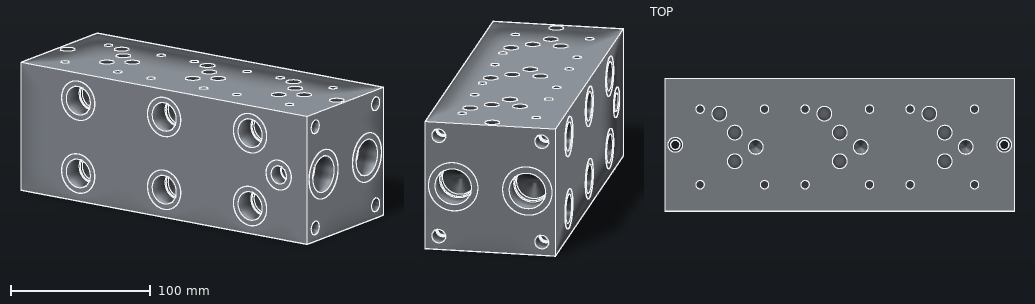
import cadquery as cq
import math

LENGTH = 250.0
WIDTH = 95.0
HEIGHT = 95.0
MID_Y = WIDTH / 2
MID_Z = HEIGHT / 2
DRILL_POINT_ANGLE = 118.0
CUT_OVERRUN = 2.5

STATION_COUNT = 3
STATION_PITCH = 75.0
FIRST_STATION_X = 50.0
STATIONS_X = [FIRST_STATION_X + i * STATION_PITCH for i in range(STATION_COUNT)]

SPOTFACE_DEPTH = 0.2
PORT_SPACING = 54.0
SERVICE_DRILL_DIA = 19.0
SERVICE_THREAD_DIA = 21.0
SERVICE_SPOTFACE_DIA = 29.0
SERVICE_THREAD_DEPTH = 16.2
SERVICE_DRILL_DEPTH = 18.8
SERVICE_PORT = (
    SERVICE_DRILL_DIA,
    SERVICE_THREAD_DIA,
    SERVICE_SPOTFACE_DIA,
    SERVICE_THREAD_DEPTH,
    SERVICE_DRILL_DEPTH,
)
SUPPLY_DRILL_DIA = 24.5
SUPPLY_THREAD_DIA = 26.5
SUPPLY_SPOTFACE_DIA = 36.0
SUPPLY_THREAD_DEPTH = 17.0
SUPPLY_DRILL_DEPTH = 22.5
SUPPLY_PORT = (
    SUPPLY_DRILL_DIA,
    SUPPLY_THREAD_DIA,
    SUPPLY_SPOTFACE_DIA,
    SUPPLY_THREAD_DEPTH,
    SUPPLY_DRILL_DEPTH,
)
GAUGE_DRILL_DIA = 11.8
GAUGE_THREAD_DIA = 13.2
GAUGE_SPOTFACE_DIA = 22.0
GAUGE_THREAD_DEPTH = 12.0
GAUGE_DRILL_DEPTH = 16.0
GAUGE_PORT = (
    GAUGE_DRILL_DIA,
    GAUGE_THREAD_DIA,
    GAUGE_SPOTFACE_DIA,
    GAUGE_THREAD_DEPTH,
    GAUGE_DRILL_DEPTH,
)
GAUGE_X = 225.0

CORNER_INSET = 10.0
CORNER_DRILL_DIA = 8.5
CORNER_THREAD_DIA = 10.0
CORNER_THREAD_DEPTH = 15.0
CORNER_DRILL_DEPTH = 17.5
CORNER_HOLE = (
    CORNER_DRILL_DIA,
    CORNER_THREAD_DIA,
    CORNER_THREAD_DEPTH,
    CORNER_DRILL_DEPTH,
)

SEAT_BOLT_DIA = 6.0
SEAT_BOLT_DEPTH = 15.0
SEAT_BOLT_SPACING_X = 46.0
SEAT_BOLT_SPACING_Y = 54.0
SEAT_CORNER_X = -24.8
SEAT_CORNER_Y = 19.0
SEAT_PORT_DIA = 10.5
SEAT_PORT_DEPTH = 5.2
SEAT_PORTS = [(13.8, 50.8), (24.8, 37.2), (24.8, 16.8)]
SEAT_DRILLED_PORT = (39.8, 27.0)
SEAT_DRILLED_DEPTH = 3.8

MOUNT_INSET = 7.5
MOUNT_DIA = 6.5
MOUNT_HEAD_DIA = 10.5
MOUNT_HEAD_DEPTH = 10.0


def cylinder(point, inward, diameter, depth):
    """Flat-bottomed hole that starts slightly outside the face."""
    direction = cq.Vector(*inward)
    start = cq.Vector(*point) - direction * CUT_OVERRUN
    return cq.Solid.makeCylinder(diameter / 2, depth + CUT_OVERRUN, start, direction)


def drilled_hole(point, inward, diameter, depth):
    """Blind hole ending in a drill point; depth is that of its cylinder."""
    direction = cq.Vector(*inward)
    tip_length = diameter / 2 / math.tan(math.radians(DRILL_POINT_ANGLE / 2))
    shoulder = cq.Vector(*point) + direction * depth
    tip = cq.Solid.makeCone(diameter / 2, 0, tip_length, shoulder, direction)
    return cylinder(point, inward, diameter, depth).fuse(tip)


def threaded_hole(point, inward, drill_dia, thread_dia, thread_depth, drill_depth):
    """Drilled hole widened to the thread diameter down to the thread depth."""
    drill = drilled_hole(point, inward, drill_dia, drill_depth)
    return drill.fuse(cylinder(point, inward, thread_dia, thread_depth))


def threaded_port(point, inward, drill_dia, thread_dia, spotface_dia, thread_depth, drill_depth):
    """Threaded hole with a shallow spotface around its mouth."""
    spotface = cylinder(point, inward, spotface_dia, SPOTFACE_DEPTH)
    return spotface.fuse(threaded_hole(point, inward, drill_dia, thread_dia, thread_depth, drill_depth))


def front_face_ports():
    """Two service ports per valve station and one gauge port."""
    inward = (0, 1, 0)
    ports = []
    for x in STATIONS_X:
        for side in (-1, 1):
            point = (x, 0, MID_Z + side * PORT_SPACING / 2)
            ports.append(threaded_port(point, inward, *SERVICE_PORT))
    ports.append(threaded_port((GAUGE_X, 0, MID_Z), inward, *GAUGE_PORT))
    return ports


def end_face_holes(x, inward):
    """Two supply ports and four corner fixing holes on the end face at x."""
    holes = []
    for side in (-1, 1):
        point = (x, MID_Y + side * PORT_SPACING / 2, MID_Z)
        holes.append(threaded_port(point, inward, *SUPPLY_PORT))
    for y in (CORNER_INSET, WIDTH - CORNER_INSET):
        for z in (CORNER_INSET, HEIGHT - CORNER_INSET):
            holes.append(threaded_hole((x, y, z), inward, *CORNER_HOLE))
    return holes


def valve_seat(station_x):
    """Bolt and port holes for one valve; all ports but one are flat-bottomed."""
    down = (0, 0, -1)
    corner_x = station_x + SEAT_CORNER_X
    holes = []
    for dx in (0, SEAT_BOLT_SPACING_X):
        for dy in (0, SEAT_BOLT_SPACING_Y):
            point = (corner_x + dx, SEAT_CORNER_Y + dy, HEIGHT)
            holes.append(cylinder(point, down, SEAT_BOLT_DIA, SEAT_BOLT_DEPTH))
    for dx, dy in SEAT_PORTS:
        point = (corner_x + dx, SEAT_CORNER_Y + dy, HEIGHT)
        holes.append(cylinder(point, down, SEAT_PORT_DIA, SEAT_PORT_DEPTH))
    dx, dy = SEAT_DRILLED_PORT
    point = (corner_x + dx, SEAT_CORNER_Y + dy, HEIGHT)
    holes.append(drilled_hole(point, down, SEAT_PORT_DIA, SEAT_DRILLED_DEPTH))
    return holes


def mounting_holes():
    """Counterbored through holes near both ends."""
    down = (0, 0, -1)
    holes = []
    for x in (MOUNT_INSET, LENGTH - MOUNT_INSET):
        point = (x, MID_Y, HEIGHT)
        holes.append(cylinder(point, down, MOUNT_DIA, HEIGHT + CUT_OVERRUN))
        holes.append(cylinder(point, down, MOUNT_HEAD_DIA, MOUNT_HEAD_DEPTH))
    return holes


cutters = front_face_ports() + mounting_holes()
cutters += end_face_holes(0, (1, 0, 0))
cutters += end_face_holes(LENGTH, (-1, 0, 0))
for station in STATIONS_X:
    cutters += valve_seat(station)

result = cq.Workplane("XY").box(LENGTH, WIDTH, HEIGHT, centered=False)
for cutter in cutters:
    result = result.cut(cq.Workplane(cutter))